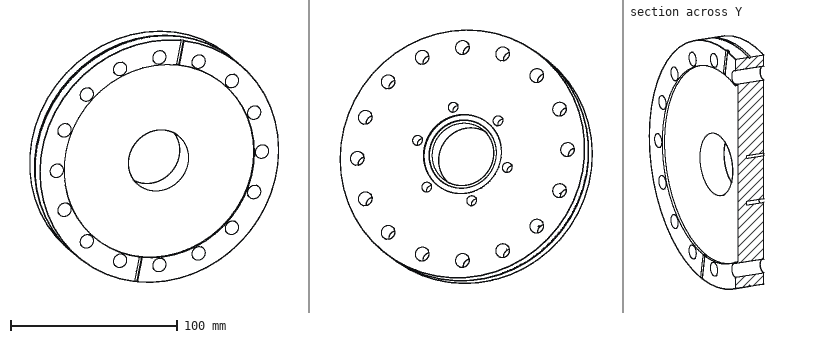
import cadquery as cq

flange_diameter = 151.6
flange_thickness = 20.0
port_face_x = -flange_thickness / 2
back_face_x = flange_thickness / 2
bore_diameter = 38.1

rim_chamfer = 0.2
rim_groove_width = 1.5
rim_groove_depth = rim_groove_width / 2

recess_diameter = 48.3
knife_edge_diameter = 41.8
recess_depth = 1.9
knife_edge_depth = 0.7
inner_step_depth = 1.4
inner_step_diameter = 41.4

back_recess_diameter = 120.7
back_recess_depth = 1.6

bolt_hole_count = 16
bolt_hole_diameter = 8.4
bolt_circle_diameter = 130.2
bolt_pitch_angle = 360 / bolt_hole_count

screw_hole_count = 6
screw_hole_diameter = 6.0
screw_circle_diameter = 58.7
screw_hole_depth = 12.0
screw_ring_angle = 90 - bolt_pitch_angle / 2

notch_width = 1.9
notch_depth = 1.4
notch_length = (flange_diameter - back_recess_diameter) / 2
notch_angle = 90 - bolt_pitch_angle / 2


def hole_ring(count, circle_diameter, diameter, first_angle, depth):
    """Cylinders cut into the port face, spaced evenly around the X axis."""
    return (
        cq.Workplane("YZ", origin=(port_face_x, 0, 0))
        .polarArray(circle_diameter / 2, first_angle, 360, count)
        .circle(diameter / 2)
        .extrude(depth)
    )


def disc():
    """Disc with chamfered rim edges and the central bore."""
    blank = (
        cq.Workplane("YZ", origin=(port_face_x, 0, 0))
        .circle(flange_diameter / 2)
        .extrude(flange_thickness)
    )
    chamfered = blank.faces("<X or >X").edges().chamfer(rim_chamfer)
    return chamfered.faces("<X").workplane().hole(bore_diameter)


def rim_groove():
    """Triangular ring that cuts the V groove around the rim."""
    rim_radius = flange_diameter / 2
    return (
        cq.Workplane("XY")
        .moveTo(-rim_groove_width / 2, rim_radius)
        .lineTo(0, rim_radius - rim_groove_depth)
        .lineTo(rim_groove_width / 2, rim_radius)
        .close()
        .revolve(360, (0, 0, 0), (1, 0, 0))
    )


def knife_edge_recess():
    """Turned recess in the port face, with its knife edge left standing."""
    return (
        cq.Workplane("XY")
        .moveTo(port_face_x, 0)
        .lineTo(port_face_x, recess_diameter / 2)
        .lineTo(port_face_x + recess_depth, recess_diameter / 2)
        .lineTo(port_face_x + knife_edge_depth, knife_edge_diameter / 2)
        .lineTo(port_face_x + inner_step_depth, inner_step_diameter / 2)
        .lineTo(port_face_x + inner_step_depth, 0)
        .close()
        .revolve(360, (0, 0, 0), (1, 0, 0))
    )


def back_recess():
    """Shallow disc that cuts the recess in the back face."""
    return (
        cq.Workplane("YZ", origin=(back_face_x - back_recess_depth, 0, 0))
        .circle(back_recess_diameter / 2)
        .extrude(back_recess_depth)
    )


def rim_notch(angle):
    """Radial slot in the back face, running inwards from the rim."""
    return (
        cq.Workplane("XY")
        .box(notch_depth, notch_length, notch_width, centered=(False, False, True))
        .translate((back_face_x - notch_depth, flange_diameter / 2 - notch_length, 0))
        .rotate((0, 0, 0), (1, 0, 0), angle)
    )


bolt_holes = hole_ring(
    bolt_hole_count, bolt_circle_diameter, bolt_hole_diameter, 0, flange_thickness
)
screw_holes = hole_ring(
    screw_hole_count, screw_circle_diameter, screw_hole_diameter, screw_ring_angle, screw_hole_depth
)

result = disc().cut(rim_groove()).cut(knife_edge_recess()).cut(back_recess()).cut(bolt_holes).cut(screw_holes)
for turn in (0, 180):
    result = result.cut(rim_notch(notch_angle + turn))